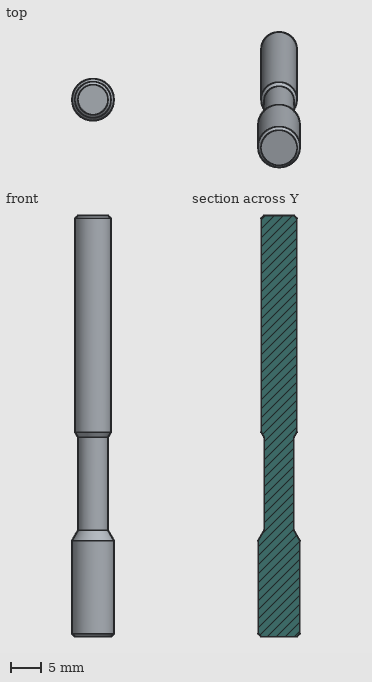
import math

import cadquery as cq

total_length = 70.0
shank_length = 36.0
head_length = 16.0
shank_radius = 3.0
neck_radius = 2.5
head_radius = 3.505
end_chamfer = 0.5
taper_angle = 30.0

shank_bottom = total_length - shank_length
taper_slope = math.tan(math.radians(taper_angle))
neck_top = shank_bottom - (shank_radius - neck_radius) / taper_slope
neck_bottom = head_length + (head_radius - neck_radius) / taper_slope


def turned_body():
    """Revolve the half profile of head, neck and shank about the Z axis."""
    profile = (
        cq.Workplane("XZ")
        .moveTo(0, 0)
        .lineTo(head_radius - end_chamfer, 0)
        .lineTo(head_radius, end_chamfer)
        .lineTo(head_radius, head_length)
        .lineTo(neck_radius, neck_bottom)
        .lineTo(neck_radius, neck_top)
        .lineTo(shank_radius, shank_bottom)
        .lineTo(shank_radius, total_length - end_chamfer)
        .lineTo(shank_radius - end_chamfer, total_length)
        .lineTo(0, total_length)
        .close()
    )
    return profile.revolve(360, (0, 0, 0), (0, 1, 0))


result = turned_body()